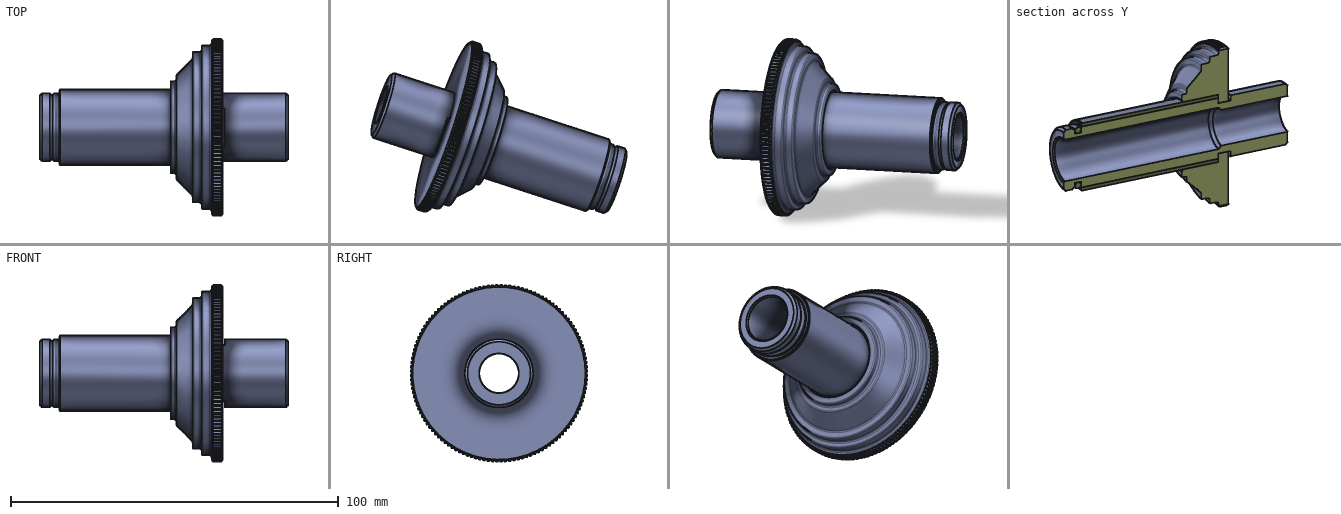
import cadquery as cq
import math


AXLE_LENGTH = 76.0
AXLE_RADIUS = 10.42
AXLE_CHAMFER = 0.8
BORE_RADIUS = 7.0
BORE_CHAMFER = 0.45
NARROW_BORE_RADIUS = 6.0
FLAT_HALF_SPAN = 8.65
SHOULDER_GAP = 0.6

COLLAR_WIDTH = 3.1
NECK_RADIUS = 9.85
RING_GROOVE_START = 4.0
RING_SIZE = 2.0
RING_ROUND = 0.82

SLEEVE_RADIUS = 11.55
SLEEVE_CHAMFER = 0.35

LIP_START = 40.0
CONE_START = 41.8
INNER_STEP_START = 46.7
OUTER_STEP_START = 49.5
RIM_START = 52.5
FLANGE_END = 56.0
LIP_RADIUS = 14.1
CONE_SMALL_RADIUS = 15.93
INNER_STEP_RADIUS = 23.0
OUTER_STEP_RADIUS = 25.0
RIM_RADIUS = 27.0
STEP_COVE = 0.65
STEP_ROUND = 0.4
RIM_CHAMFER = 0.65
LIP_COUNTERSINK = 0.55

KNURL_COUNT = 128
KNURL_DEPTH = 0.55
KNURL_HALF_WIDTH = 0.5

neck_width = RING_GROOVE_START - COLLAR_WIDTH
neck_depth = AXLE_RADIUS - NECK_RADIUS
neck_cove_radius = (neck_width**2 + neck_depth**2) / (2 * neck_depth)
sleeve_start = RING_GROOVE_START + RING_SIZE
ring_groove_radius = AXLE_RADIUS - RING_SIZE
flats_end = FLANGE_END + SHOULDER_GAP
bore_step = BORE_RADIUS - NARROW_BORE_RADIUS
cone_length = INNER_STEP_START - CONE_START
cone_large_radius = CONE_SMALL_RADIUS + cone_length


def turned(profile):
    """Revolve a closed (x, radius) profile about the X axis."""
    return profile.close().revolve(360, (0, 0, 0), (1, 0, 0))


def cylinder(start, end, radius):
    """Round bar along X between two places."""
    return cq.Workplane("YZ").workplane(offset=start).circle(radius).extrude(end - start)


def flatted_bar(start, end):
    """Bar of the axle's radius with flats on its top and bottom."""
    slab = cq.Workplane("XY").box(
        end - start, 2 * AXLE_RADIUS, 2 * FLAT_HALF_SPAN, centered=(False, True, True)
    )
    return cylinder(start, end, AXLE_RADIUS).intersect(slab.translate((start, 0, 0)))


def make_axle():
    profile = (
        cq.Workplane("XY")
        .moveTo(0, BORE_RADIUS + BORE_CHAMFER)
        .lineTo(0, AXLE_RADIUS - AXLE_CHAMFER)
        .lineTo(AXLE_CHAMFER, AXLE_RADIUS)
        .lineTo(COLLAR_WIDTH, AXLE_RADIUS)
        .radiusArc((RING_GROOVE_START, NECK_RADIUS), -neck_cove_radius)
        .lineTo(RING_GROOVE_START, ring_groove_radius)
        .lineTo(sleeve_start, ring_groove_radius)
        .lineTo(sleeve_start, AXLE_RADIUS)
        .lineTo(AXLE_LENGTH - AXLE_CHAMFER, AXLE_RADIUS)
        .lineTo(AXLE_LENGTH, AXLE_RADIUS - AXLE_CHAMFER)
        .lineTo(AXLE_LENGTH, NARROW_BORE_RADIUS)
        .lineTo(RIM_START + bore_step, NARROW_BORE_RADIUS)
        .lineTo(RIM_START, BORE_RADIUS)
        .lineTo(BORE_CHAMFER, BORE_RADIUS)
    )
    flats_waste = cylinder(RIM_START, flats_end, AXLE_RADIUS).cut(flatted_bar(RIM_START, flats_end))
    return turned(profile).cut(flats_waste)


def make_o_ring():
    """Ring of square section with heavily rounded edges, filling the groove to the axle's radius."""
    outer = cylinder(RING_GROOVE_START, sleeve_start, AXLE_RADIUS)
    ring = outer.cut(cylinder(RING_GROOVE_START, sleeve_start, ring_groove_radius))
    return ring.edges("%CIRCLE").fillet(RING_ROUND)


def make_sleeve():
    profile = (
        cq.Workplane("XY")
        .moveTo(sleeve_start, AXLE_RADIUS)
        .lineTo(sleeve_start, SLEEVE_RADIUS - SLEEVE_CHAMFER)
        .lineTo(sleeve_start + SLEEVE_CHAMFER, SLEEVE_RADIUS)
        .lineTo(RIM_START, SLEEVE_RADIUS)
        .lineTo(RIM_START, AXLE_RADIUS)
    )
    return turned(profile)


def add_step(profile, start, end, radius):
    """Append a cylindrical step with a rounded front edge and a cove up to the next face."""
    return (
        profile.lineTo(start, radius - STEP_ROUND)
        .radiusArc((start + STEP_ROUND, radius), STEP_ROUND)
        .lineTo(end - STEP_COVE, radius)
        .radiusArc((end, radius + STEP_COVE), -STEP_COVE)
    )


def flange_profile():
    setback = STEP_COVE * math.tan(math.radians(22.5))
    along_cone = setback * math.cos(math.radians(45))

    profile = (
        cq.Workplane("XY")
        .moveTo(LIP_START + LIP_COUNTERSINK, SLEEVE_RADIUS)
        .lineTo(LIP_START, SLEEVE_RADIUS + LIP_COUNTERSINK)
    )
    profile = add_step(profile, LIP_START, CONE_START, LIP_RADIUS)
    profile = (
        profile.lineTo(CONE_START, CONE_SMALL_RADIUS - setback)
        .radiusArc((CONE_START + along_cone, CONE_SMALL_RADIUS + along_cone), STEP_COVE)
        .lineTo(INNER_STEP_START - along_cone, cone_large_radius - along_cone)
        .radiusArc((INNER_STEP_START, cone_large_radius + setback), -STEP_COVE)
    )
    profile = add_step(profile, INNER_STEP_START, OUTER_STEP_START, INNER_STEP_RADIUS)
    profile = add_step(profile, OUTER_STEP_START, RIM_START, OUTER_STEP_RADIUS)
    return (
        profile.lineTo(RIM_START, RIM_RADIUS - RIM_CHAMFER)
        .lineTo(RIM_START + RIM_CHAMFER, RIM_RADIUS)
        .lineTo(FLANGE_END - RIM_CHAMFER, RIM_RADIUS)
        .lineTo(FLANGE_END, RIM_RADIUS - RIM_CHAMFER)
        .lineTo(FLANGE_END, 0)
        .lineTo(RIM_START, 0)
        .lineTo(RIM_START, SLEEVE_RADIUS)
    )


def knurl_rim_outline():
    """Closed outline of the rim with one V groove per knurl pitch."""
    pitch = 2 * math.pi / KNURL_COUNT
    half_angle = math.asin(KNURL_HALF_WIDTH / RIM_RADIUS)

    def polar(radius, angle):
        return (radius * math.cos(angle), radius * math.sin(angle))

    outline = cq.Workplane("YZ").workplane(offset=RIM_START).moveTo(*polar(RIM_RADIUS, -half_angle))
    for tooth in range(KNURL_COUNT):
        angle = tooth * pitch
        outline = (
            outline.lineTo(*polar(RIM_RADIUS - KNURL_DEPTH, angle))
            .lineTo(*polar(RIM_RADIUS, angle + half_angle))
            .radiusArc(polar(RIM_RADIUS, angle + pitch - half_angle), -RIM_RADIUS)
        )
    return outline.close()


def make_flange():
    blank = turned(flange_profile())
    knurled_bar = knurl_rim_outline().extrude(FLANGE_END - RIM_START)
    front = cylinder(LIP_START, RIM_START, RIM_RADIUS)
    knurled = blank.intersect(front.union(knurled_bar))
    return knurled.cut(flatted_bar(RIM_START, FLANGE_END))


axle = make_axle()
o_ring = make_o_ring()
sleeve = make_sleeve()
flange = make_flange()

result = cq.Compound.makeCompound([axle.val(), o_ring.val(), sleeve.val(), flange.val()])